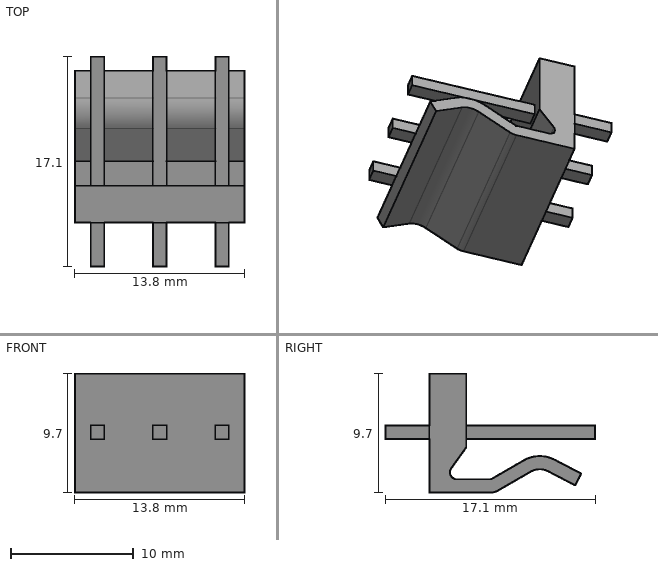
import cadquery as cq
import math

housing_width = 13.83
wall_height = 9.7
wall_thickness = 3.01

undercut_top = 3.7
undercut_wall = 1.15
undercut_radius = 0.56

arm_thickness = 1.1
bend_y = 5.01
rise_angle = math.radians(30)
fall_angle = math.radians(27.5)
crest_height = 3.0
crest_inner_radius = 1.49
tip_y = 12.38

pin_count = 3
pin_pitch = 5.08
pin_size = 1.11
pin_length = 17.1
pin_front_length = 3.59
pin_center_z = 4.92

crest_outer_radius = crest_inner_radius + arm_thickness
crest_z = crest_height - crest_outer_radius
rise_end_z = crest_z + crest_outer_radius * math.cos(rise_angle)
rise_end_y = bend_y + (rise_end_z - arm_thickness) / math.tan(rise_angle)
crest_y = rise_end_y + crest_outer_radius * math.sin(rise_angle)


def around(center_y, center_z, radius, angle):
    """Point on a circle; the angle is measured from +Z towards +Y."""
    return (center_y + radius * math.sin(angle), center_z + radius * math.cos(angle))


def crest_point(radius, angle):
    return around(crest_y, crest_z, radius, angle)


def bend_point(angle):
    """Point on the rounded underside of the bend, angle measured from -Z towards +Y."""
    return around(bend_y, arm_thickness, arm_thickness, math.pi - angle)


def make_housing():
    fall_start = crest_point(crest_outer_radius, fall_angle)
    tip_top = (tip_y, fall_start[1] - (tip_y - fall_start[0]) * math.tan(fall_angle))
    tip_bottom = around(*tip_top, -arm_thickness, fall_angle)
    profile = (
        cq.Workplane("YZ")
        .moveTo(0, 0)
        .lineTo(0, wall_height)
        .lineTo(wall_thickness, wall_height)
        .lineTo(wall_thickness, undercut_top)
        .lineTo(undercut_wall, arm_thickness)
        .lineTo(bend_y, arm_thickness)
        .lineTo(rise_end_y, rise_end_z)
        .threePointArc(crest_point(crest_outer_radius, 0), fall_start)
        .lineTo(*tip_top)
        .lineTo(*tip_bottom)
        .lineTo(*crest_point(crest_inner_radius, fall_angle))
        .threePointArc(
            crest_point(crest_inner_radius, 0),
            crest_point(crest_inner_radius, -rise_angle),
        )
        .lineTo(*bend_point(rise_angle))
        .threePointArc(bend_point(rise_angle / 2), bend_point(0))
        .close()
    )
    body = profile.extrude(housing_width / 2, both=True)
    undercut_corner = cq.selectors.NearestToPointSelector((0, undercut_wall, arm_thickness))
    return body.edges("|X").edges(undercut_corner).fillet(undercut_radius)


def make_pin(x):
    return (
        cq.Workplane("XY")
        .box(pin_size, pin_length, pin_size, centered=(True, False, True))
        .translate((x, -pin_front_length, pin_center_z))
    )


result = make_housing()
for index in range(pin_count):
    result = result.union(make_pin((index - (pin_count - 1) / 2) * pin_pitch))